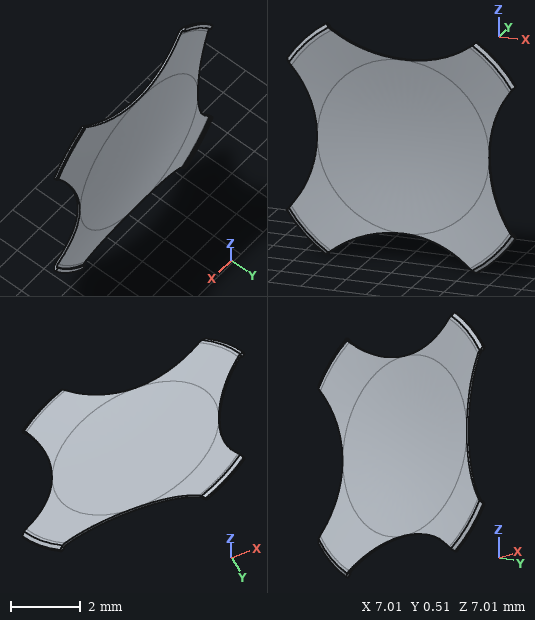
import cadquery as cq
import math

side = 7.01
height = 0.51
tip_radius = 4.19

wall = 0.085
dome_radius = 2.635
dome_sag = 0.21

rim_radius = 3.97
lip_height = 0.13
chamfer_width = 0.125
chamfer_height = 0.06
lip_radius = tip_radius - chamfer_width

scallop_valley = dome_radius


def arc_middle(apex):
    """Point halfway out on a cap profile that starts at the given apex height."""
    sphere_radius = (dome_radius**2 + dome_sag**2) / (2 * dome_sag)
    x = dome_radius / 2
    return x, apex - sphere_radius + math.sqrt(sphere_radius**2 - x**2)


def make_dished_disc():
    """Spherical cap, conical skirt and chamfered rim with its lip, turned about Y."""
    inner_apex = height - wall
    return (
        cq.Workplane("XY")
        .moveTo(0, inner_apex)
        .threePointArc(arc_middle(inner_apex), (dome_radius, inner_apex - dome_sag))
        .lineTo(rim_radius, 0)
        .lineTo(lip_radius, 0)
        .lineTo(tip_radius, chamfer_height)
        .lineTo(tip_radius, lip_height)
        .lineTo(lip_radius, lip_height)
        .lineTo(lip_radius, wall)
        .lineTo(rim_radius, wall)
        .lineTo(dome_radius, height - dome_sag)
        .threePointArc(arc_middle(height), (0, height))
        .close()
        .revolve(360, (0, 0, 0), (0, 1, 0))
    )


def make_scallops():
    """Four round cutters whose circles pass through the arm tip corners."""
    corner_across = math.sqrt(tip_radius**2 - (side / 2)**2)
    scallop_depth = side / 2 - scallop_valley
    scallop_radius = (corner_across**2 + scallop_depth**2) / (2 * scallop_depth)
    return (
        cq.Workplane("XZ")
        .polarArray(scallop_valley + scallop_radius, 0, 360, 4)
        .circle(scallop_radius)
        .extrude(-height)
    )


result = make_dished_disc().cut(make_scallops())